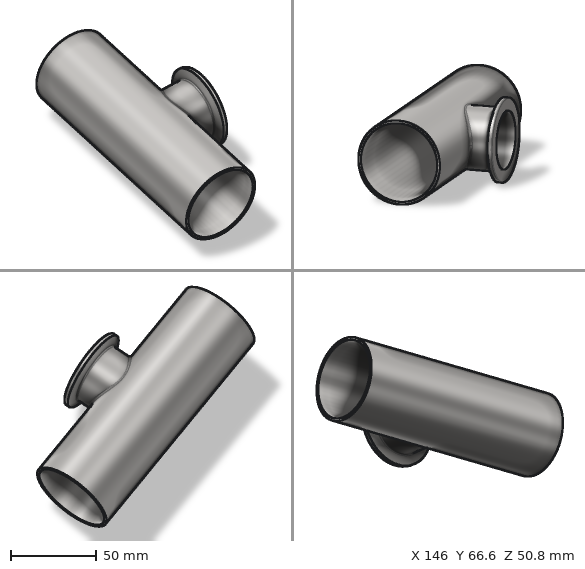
import cadquery as cq
import math

tube_length = 146.0
tube_outer_diameter = 50.8
tube_inner_diameter = 47.5

branch_outer_diameter = 38.1
branch_inner_diameter = 34.8
branch_reach = 41.2
flange_diameter = 50.4
flange_rim_width = 2.8
flange_back_angle = 20.0

flange_fillet = 1.0
junction_fillet = 1.5
face_rounding = 0.5

match_tolerance = 0.01

tube_radius = tube_outer_diameter / 2
branch_radius = branch_outer_diameter / 2
flange_radius = flange_diameter / 2
rim_back = branch_reach - flange_rim_width
cone_width = (flange_radius - branch_radius) * math.tan(math.radians(flange_back_angle))
cone_back = rim_back - cone_width


def make_tube():
    return (
        cq.Workplane("YZ")
        .circle(tube_radius)
        .extrude(tube_length / 2, both=True)
    )


def make_branch():
    """Solid branch and flange, revolved about the Y axis."""
    profile = [
        (0, 0),
        (branch_radius, 0),
        (branch_radius, cone_back),
        (flange_radius, rim_back),
        (flange_radius, branch_reach),
        (0, branch_reach),
    ]
    return cq.Workplane("XY").polyline(profile).close().revolve(360, (0, 0), (0, 1))


def at_flange_root(edge):
    return edge.geomType() == "CIRCLE" and abs(edge.Center().y - cone_back) < match_tolerance


def at_face_rim(edge):
    return edge.geomType() == "CIRCLE" and abs(edge.Center().y - branch_reach) < match_tolerance


def at_junction(edge):
    """True for the curve where the branch meets the outside of the tube."""
    point = edge.positionAt(0.5)
    on_tube = abs(math.hypot(point.y, point.z) - tube_radius) < match_tolerance
    on_branch = abs(math.hypot(point.x, point.z) - branch_radius) < match_tolerance
    return on_tube and on_branch


def fillet_where(body, test, radius):
    edges = [edge for edge in body.edges().vals() if test(edge)]
    return body.newObject(edges).fillet(radius)


body = make_tube().union(make_branch())
body = fillet_where(body, at_flange_root, flange_fillet)
body = fillet_where(body, at_face_rim, face_rounding)
body = fillet_where(body, at_junction, junction_fillet)

tube_bore = (
    cq.Workplane("YZ")
    .circle(tube_inner_diameter / 2)
    .extrude(tube_length / 2, both=True)
)
branch_bore = cq.Workplane("XZ").circle(branch_inner_diameter / 2).extrude(-branch_reach)

result = body.cut(tube_bore).cut(branch_bore)